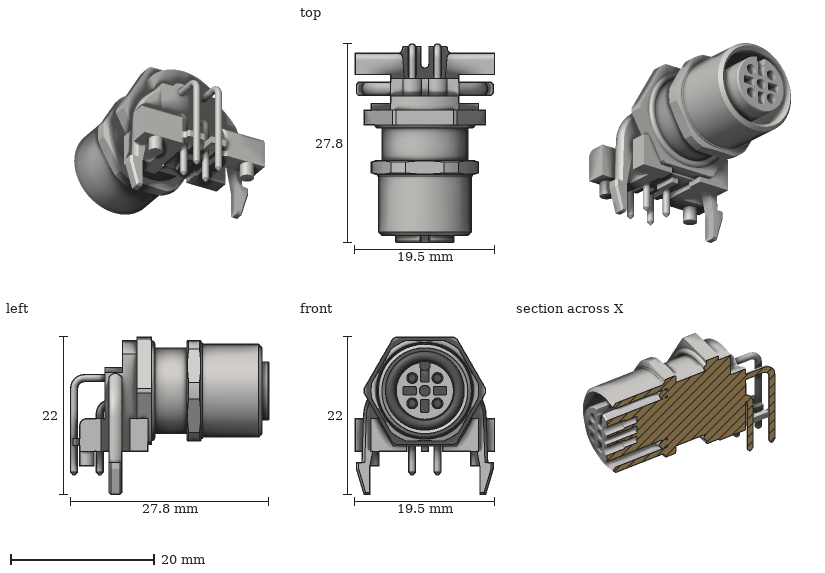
import cadquery as cq
import math


NECK_DIA = 12.0
SHELL_DIA = 13.0
SHELL_FRONT_Y = -15.45
SHELL_CHAMFER = 0.5
SHELL_STEP_DIA = 13.3
SHELL_STEP_Y = -7.15
BORE_DIA = 11.0
BORE_DEPTH = 9.0
BORE_FLOOR_Y = SHELL_FRONT_Y + BORE_DEPTH

FLANGE_FLATS = 15.0
FLANGE_CORNER_DIA = 17.0
FLANGE_LENGTH = 2.05
NUT_FLATS = 14.0
NUT_CORNER_DIA = 15.0
NUT_FRONT_Y = -6.95
NUT_BACK_Y = -4.95
NUT_CHAMFER_RADIAL = 0.73
NUT_CHAMFER_AXIAL = 0.25

INSERT_DIA = 8.2
INSERT_FRONT_Y = -16.45
INSERT_CHAMFER_RADIAL = 0.1
INSERT_CHAMFER_AXIAL = 0.2
CONTACT_OFFSET = 1.77
CONTACT_ENTRY_DIA = 1.5
CONTACT_BORE_DIA = 1.1
CONTACT_ENTRY_DEPTH = 3.0
CONTACT_DEPTH = 5.0
SLOT_LENGTH = 1.85
SLOT_WIDTH = 1.2
SLOT_OFFSET = 2.12
SLOT_ROUND = 0.25
SLOT_DEPTH = 5.0
KEYWAY_WIDTH = 1.4
KEYWAY_FLOOR_Z = 2.77
BORE_SEAL_SECTION_DIA = (BORE_DIA - INSERT_DIA) / 2
BORE_SEAL_EMBED = 0.1
FLANGE_SEAL_OUTER_DIA = 14.0
FLANGE_SEAL_SECTION_DIA = 1.0
FLANGE_SEAL_Y = 0.04

BODY_RADIUS = 7.0
BODY_WIDTH = 9.54
BODY_STEP_Y = 4.05
BODY_BACK_Y = 6.5
BODY_BOTTOM_Z = -7.75
BACK_TOP_Z = 2.53
SLEEVE_DIA = 3.0

BASE_TOP_Z = -3.89
BASE_BOTTOM_Z = -8.48
BASE_BAR_WIDTH = 19.5
BASE_BAR_FRONT_Y = 7.02
BASE_BAR_BACK_Y = 10.03
BASE_BAR_ROUND = 1.0
BAR_GAP_FRONT = 5.7
BAR_GAP_BACK = 6.3
BAR_INNER_ROUND = 0.7
FOOT_WIDTH = 15.0
FOOT_GAP = 5.0
FOOT_FRONT_Y = 0.52
FOOT_BACK_Y = 3.0
FLANGE_CLEARANCE = 0.2
RIB_WIDTH = 1.0
PEG_DIA = 2.0
PEG_X = 7.4
PEG_LENGTH = 2.02

GUIDE_WIDTH = 6.3
GUIDE_FLARE = 0.6
GUIDE_BACK_Y = 10.95
GUIDE_TOP_Z = -6.66
GUIDE_BOTTOM_Z = -7.62
GUIDE_SLOT_WIDTH = 1.1
GUIDE_CORNER_ROUND = 0.25
CENTRE_SLOT_END_Y = 7.95

PIN_DIA = 1.0
PIN_BEND_RADIUS = 1.5
UPPER_PIN_Y = 10.82
LOWER_PIN_Y = 7.23
PIN_END_Z = -11.8
PIN_TIP_LENGTH = 0.45
PIN_TIP_DIA = 0.2

CLIP_FRONT_Y = 4.13
CLIP_THICKNESS = 1.84
CLIP_ROOT_Z = 2.4
CLIP_ROOT_ANGLE = math.radians(43)
CLIP_ROOT_RUN = 1.92
CLIP_ELBOW_RADIUS = 5.93
CLIP_ARM_ANGLE = math.radians(88)
HOOK_TOP_Z = -10.04
HOOK_NOSE_X = 9.56
HOOK_NOSE_Z = -10.95
CLIP_TIP_X = 8.5
CLIP_END_Z = -14.49
CLIP_INNER_X = 7.68
CLIP_INNER_BEND_Z = -10.5
WEB_CORNER = (6.3, -3.3)
WEB_ROOT_Z = -1.5
CLIP_CROWN_HEIGHT = 0.4
CLIP_CROWN_DEPTH = 0.9
CLIP_WEB_INSET = 0.6
HOOK_CHAMFER = 0.3


def box(x0, x1, y0, y1, z0, z1):
    """Box between two corners."""
    return cq.Workplane("XY").box(x1 - x0, y1 - y0, z1 - z0, centered=False).translate((x0, y0, z0))


def rod(dia, y0, y1, x=0.0, z=0.0):
    """Cylinder parallel to Y between y0 and y1."""
    return cq.Workplane("XZ", origin=(0, y0, 0)).center(x, z).circle(dia / 2).extrude(y0 - y1)


def hexagon(flats, y0, y1):
    """Hexagonal prism along Y with flats facing +Z and -Z."""
    corner_dia = flats / math.cos(math.pi / 6)
    return cq.Workplane("XZ", origin=(0, y0, 0)).polygon(6, corner_dia).extrude(y0 - y1)


def mirrored(solid):
    """The solid together with its mirror image across the YZ plane."""
    return solid.union(solid.mirror("YZ"))


def make_flange():
    disc = rod(FLANGE_CORNER_DIA, 0, FLANGE_LENGTH)
    return hexagon(FLANGE_FLATS, 0, FLANGE_LENGTH).intersect(disc)


def make_nut():
    disc = rod(NUT_CORNER_DIA, NUT_FRONT_Y, NUT_BACK_Y)
    disc = disc.edges().chamfer(NUT_CHAMFER_AXIAL, NUT_CHAMFER_RADIAL)
    return hexagon(NUT_FLATS, NUT_FRONT_Y, NUT_BACK_Y).intersect(disc)


def make_shell():
    barrel = rod(SHELL_DIA, SHELL_FRONT_Y, NUT_FRONT_Y)
    barrel = barrel.faces("<Y").edges().chamfer(SHELL_CHAMFER)
    step = rod(SHELL_STEP_DIA, SHELL_STEP_Y, NUT_FRONT_Y)
    neck = rod(NECK_DIA, NUT_FRONT_Y, 0)
    shell = barrel.union(step).union(neck).union(make_nut()).union(make_flange())
    shell = shell.cut(rod(BORE_DIA, SHELL_FRONT_Y, BORE_FLOOR_Y))
    rim_dia = SHELL_DIA - 2 * SHELL_CHAMFER
    mouth_depth = (rim_dia - BORE_DIA) / 2
    mouth = (
        cq.Workplane("XZ", origin=(0, SHELL_FRONT_Y, 0))
        .circle(rim_dia / 2)
        .workplane(offset=-mouth_depth)
        .circle(BORE_DIA / 2)
        .loft()
    )
    return shell.cut(mouth)


def seal_ring(outer_dia, section_dia, y):
    """Sealing ring around the Y axis, its section centred at y."""
    ring_radius = (outer_dia - section_dia) / 2
    section = cq.Workplane("XY").center(ring_radius, y).circle(section_dia / 2)
    return section.revolve(360, (-ring_radius, 0), (-ring_radius, 1))


def make_seals():
    """Bore seal lying on the bore floor, and flange seal half sunk in the flange."""
    bore_seal_y = BORE_FLOOR_Y - BORE_SEAL_SECTION_DIA / 2 + BORE_SEAL_EMBED
    bore_seal = seal_ring(BORE_DIA, BORE_SEAL_SECTION_DIA, bore_seal_y)
    flange_seal = seal_ring(FLANGE_SEAL_OUTER_DIA, FLANGE_SEAL_SECTION_DIA, FLANGE_SEAL_Y)
    return bore_seal.union(flange_seal)


def insert_slot(x, z, size_x, size_z):
    """Blind rounded pocket in the insert face."""
    slot = cq.Workplane("XZ", origin=(0, INSERT_FRONT_Y, 0)).center(x, z).rect(size_x, size_z)
    return slot.extrude(-SLOT_DEPTH).edges("|Y").fillet(SLOT_ROUND)


def make_insert():
    insert = rod(INSERT_DIA, INSERT_FRONT_Y, BORE_FLOOR_Y)
    insert = insert.faces("<Y").edges().chamfer(INSERT_CHAMFER_AXIAL, INSERT_CHAMFER_RADIAL)
    contact_end_y = INSERT_FRONT_Y + CONTACT_DEPTH
    insert = insert.cut(rod(CONTACT_ENTRY_DIA, INSERT_FRONT_Y, contact_end_y))
    for side_x in (-1, 1):
        for side_z in (-1, 1):
            x = side_x * CONTACT_OFFSET
            z = side_z * CONTACT_OFFSET
            entry_end_y = INSERT_FRONT_Y + CONTACT_ENTRY_DEPTH
            insert = insert.cut(rod(CONTACT_ENTRY_DIA, INSERT_FRONT_Y, entry_end_y, x, z))
            insert = insert.cut(rod(CONTACT_BORE_DIA, INSERT_FRONT_Y, contact_end_y, x, z))
    for side in (-1, 1):
        insert = insert.cut(insert_slot(side * SLOT_OFFSET, 0, SLOT_LENGTH, SLOT_WIDTH))
        insert = insert.cut(insert_slot(0, side * SLOT_OFFSET, SLOT_WIDTH, SLOT_LENGTH))
    half_width = KEYWAY_WIDTH / 2
    floor_centre_z = KEYWAY_FLOOR_Z + half_width
    keyway_end_y = BORE_FLOOR_Y - BORE_SEAL_SECTION_DIA
    keyway = rod(KEYWAY_WIDTH, INSERT_FRONT_Y, keyway_end_y, 0, floor_centre_z)
    walls = box(-half_width, half_width, INSERT_FRONT_Y, keyway_end_y, floor_centre_z, INSERT_DIA / 2)
    return insert.cut(keyway).cut(walls)


def make_body():
    half_width = BODY_WIDTH / 2
    front = rod(2 * BODY_RADIUS, FLANGE_LENGTH, BODY_STEP_Y)
    front = front.intersect(box(-half_width, half_width, FLANGE_LENGTH, BODY_STEP_Y, 0, BODY_RADIUS))
    lower = box(-half_width, half_width, FLANGE_LENGTH, BODY_BACK_Y, BODY_BOTTOM_Z, 0)
    back = box(-half_width, half_width, BODY_STEP_Y, BODY_BACK_Y, 0, BACK_TOP_Z)
    body = front.union(lower).union(back)
    for side in (-1, 1):
        x = side * CONTACT_OFFSET
        body = body.union(rod(SLEEVE_DIA, BODY_STEP_Y, BODY_BACK_Y, x, CONTACT_OFFSET))
    rib = box(-RIB_WIDTH / 2, RIB_WIDTH / 2, FOOT_BACK_Y, BODY_BACK_Y, BASE_BOTTOM_Z, BODY_BOTTOM_Z)
    return body.union(rib)


def make_foot():
    """Support block under the flange on the +X side."""
    foot = box(FOOT_GAP / 2, FOOT_WIDTH / 2, FOOT_FRONT_Y, FOOT_BACK_Y, BASE_BOTTOM_Z, BASE_TOP_Z)
    return foot.cut(hexagon(FLANGE_FLATS + 2 * FLANGE_CLEARANCE, 0, FLANGE_LENGTH))


def make_base_bar():
    """Rear support bar on the +X side, joined forward to the body, with its peg."""
    bar_height = BASE_TOP_Z - BASE_BOTTOM_Z
    outline = [
        (BAR_GAP_FRONT / 2, FOOT_BACK_Y),
        (BODY_WIDTH / 2, FOOT_BACK_Y),
        (BODY_WIDTH / 2, BASE_BAR_FRONT_Y),
        (BASE_BAR_WIDTH / 2, BASE_BAR_FRONT_Y),
        (BASE_BAR_WIDTH / 2, BASE_BAR_BACK_Y),
        (BAR_GAP_BACK / 2, BASE_BAR_BACK_Y),
        (BAR_GAP_FRONT / 2, BODY_BACK_Y),
    ]
    inner_corner = (BAR_GAP_BACK / 2, BASE_BAR_BACK_Y, (BASE_TOP_Z + BASE_BOTTOM_Z) / 2)
    bar = cq.Workplane("XY", origin=(0, 0, BASE_BOTTOM_Z)).polyline(outline).close().extrude(bar_height)
    bar = bar.edges(cq.selectors.NearestToPointSelector(inner_corner)).fillet(BAR_INNER_ROUND)
    envelope = box(0, BASE_BAR_WIDTH / 2, 0, BASE_BAR_BACK_Y, BASE_BOTTOM_Z, BASE_TOP_Z)
    bar = bar.intersect(envelope.edges(">Y and >Z").fillet(BASE_BAR_ROUND))
    peg_y = BASE_BAR_BACK_Y - PEG_DIA / 2
    peg = cq.Workplane("XY", origin=(PEG_X, peg_y, BASE_BOTTOM_Z)).circle(PEG_DIA / 2).extrude(-PEG_LENGTH)
    return bar.union(peg)


def guide_slot(x, end_y):
    """Slot open to the back of the guide plate, with a round end at end_y."""
    radius = GUIDE_SLOT_WIDTH / 2
    slot = box(x - radius, x + radius, end_y + radius, GUIDE_BACK_Y, GUIDE_BOTTOM_Z, GUIDE_TOP_Z)
    end = cq.Workplane("XY", origin=(x, end_y + radius, GUIDE_BOTTOM_Z)).circle(radius)
    return slot.union(end.extrude(GUIDE_TOP_Z - GUIDE_BOTTOM_Z))


def make_guide_plate():
    """Slotted plate that holds the solder pins."""
    half_width = GUIDE_WIDTH / 2
    thickness = GUIDE_TOP_Z - GUIDE_BOTTOM_Z
    plate = box(-half_width, half_width, BODY_BACK_Y, GUIDE_BACK_Y, GUIDE_BOTTOM_Z, GUIDE_TOP_Z)
    plate = plate.edges("|Z and >Y").fillet(GUIDE_CORNER_ROUND)
    bend = GUIDE_FLARE * math.sqrt(0.5)
    flare_x = half_width + GUIDE_FLARE
    flare_y = BASE_BAR_BACK_Y + GUIDE_FLARE
    flare = (
        cq.Workplane("XY", origin=(0, 0, GUIDE_BOTTOM_Z))
        .moveTo(half_width, flare_y)
        .threePointArc((flare_x - bend, flare_y - bend), (flare_x, BASE_BAR_BACK_Y))
        .lineTo(flare_x, BASE_BAR_BACK_Y - GUIDE_FLARE)
        .lineTo(half_width, BASE_BAR_BACK_Y - GUIDE_FLARE)
        .close()
        .extrude(thickness)
    )
    plate = plate.union(mirrored(flare))
    plate = plate.cut(guide_slot(0, CENTRE_SLOT_END_Y))
    for side in (-1, 1):
        plate = plate.cut(guide_slot(side * CONTACT_OFFSET, BODY_BACK_Y))
    return plate


def make_pin(x, z, back_y):
    """Round pin leaving the body along +Y and bending down to a pointed end."""
    bend_mid = PIN_BEND_RADIUS * (1 - math.sqrt(0.5))
    straight_end_y = back_y - PIN_BEND_RADIUS
    path = (
        cq.Workplane("YZ", origin=(x, 0, 0))
        .moveTo(BODY_STEP_Y, z)
        .lineTo(straight_end_y, z)
        .threePointArc((back_y - bend_mid, z - bend_mid), (back_y, z - PIN_BEND_RADIUS))
        .lineTo(back_y, PIN_END_Z + PIN_TIP_LENGTH)
    )
    wire = cq.Workplane("XZ", origin=(x, BODY_STEP_Y, z)).circle(PIN_DIA / 2).sweep(path)
    tip = (
        cq.Workplane("XY", origin=(x, back_y, PIN_END_Z))
        .circle(PIN_TIP_DIA / 2)
        .workplane(offset=PIN_TIP_LENGTH)
        .circle(PIN_DIA / 2)
        .loft()
    )
    return wire.union(tip)


def clip_edges(clip, points):
    """Edges of the two flat clip faces that pass through the given (x, z) points."""
    edges = []
    for y in (CLIP_FRONT_Y, CLIP_FRONT_Y + CLIP_THICKNESS):
        for x, z in points:
            edges += clip.edges(cq.selectors.NearestToPointSelector((x, y, z))).vals()
    return edges


def clip_line(y, inset):
    """Line from the body down the outside of the clip, moved inward by inset."""
    radius = CLIP_ELBOW_RADIUS - inset
    elbow_start_x = BODY_WIDTH / 2 + CLIP_ROOT_RUN
    elbow_start_z = CLIP_ROOT_Z - CLIP_ROOT_RUN * math.tan(CLIP_ROOT_ANGLE)
    centre_x = elbow_start_x - CLIP_ELBOW_RADIUS * math.sin(CLIP_ROOT_ANGLE)
    centre_z = elbow_start_z - CLIP_ELBOW_RADIUS * math.cos(CLIP_ROOT_ANGLE)

    def elbow_point(angle):
        return (centre_x + radius * math.sin(angle), centre_z + radius * math.cos(angle))

    root_x = BODY_WIDTH / 2 - inset * math.sin(CLIP_ROOT_ANGLE)
    root_z = CLIP_ROOT_Z - inset * math.cos(CLIP_ROOT_ANGLE)
    elbow_end = elbow_point(CLIP_ARM_ANGLE)
    arm_end_x = elbow_end[0] + (elbow_end[1] - HOOK_TOP_Z) / math.tan(CLIP_ARM_ANGLE)
    return (
        cq.Workplane("XZ", origin=(0, y, 0))
        .moveTo(root_x, root_z)
        .lineTo(*elbow_point(CLIP_ROOT_ANGLE))
        .threePointArc(elbow_point((CLIP_ROOT_ANGLE + CLIP_ARM_ANGLE) / 2), elbow_end)
        .lineTo(arm_end_x, HOOK_TOP_Z)
    )


def make_clip():
    """Board clip on the +X side: sloping root, curved elbow, arm and hook."""
    root_x = BODY_WIDTH / 2
    half = CLIP_THICKNESS / 2
    middle_y = CLIP_FRONT_Y + half
    slope = (math.cos(CLIP_ROOT_ANGLE), 0, -math.sin(CLIP_ROOT_ANGLE))
    section_plane = cq.Plane(origin=(root_x, middle_y, CLIP_ROOT_Z), xDir=(0, 1, 0), normal=slope)
    crown = (
        cq.Workplane(section_plane)
        .moveTo(-half, -CLIP_CROWN_HEIGHT)
        .threePointArc((0, 0), (half, -CLIP_CROWN_HEIGHT))
        .lineTo(half, -CLIP_CROWN_DEPTH)
        .lineTo(-half, -CLIP_CROWN_DEPTH)
        .close()
        .sweep(clip_line(middle_y, 0))
    )
    web = (
        clip_line(CLIP_FRONT_Y, CLIP_WEB_INSET)
        .lineTo(CLIP_INNER_X, CLIP_INNER_BEND_Z)
        .lineTo(*WEB_CORNER)
        .lineTo(root_x, WEB_ROOT_Z)
        .close()
        .extrude(-CLIP_THICKNESS)
    )
    hook = (
        cq.Workplane("XZ", origin=(0, CLIP_FRONT_Y, 0))
        .moveTo(CLIP_INNER_X, HOOK_TOP_Z)
        .lineTo(HOOK_NOSE_X, HOOK_TOP_Z)
        .lineTo(HOOK_NOSE_X, HOOK_NOSE_Z)
        .lineTo(CLIP_TIP_X, CLIP_END_Z)
        .lineTo(CLIP_INNER_X, CLIP_END_Z)
        .close()
        .extrude(-CLIP_THICKNESS)
    )
    hook_points = (
        (HOOK_NOSE_X, (HOOK_TOP_Z + HOOK_NOSE_Z) / 2),
        ((HOOK_NOSE_X + CLIP_TIP_X) / 2, (HOOK_NOSE_Z + CLIP_END_Z) / 2),
        ((CLIP_TIP_X + CLIP_INNER_X) / 2, CLIP_END_Z),
    )
    hook = hook.newObject(clip_edges(hook, hook_points)).chamfer(HOOK_CHAMFER)
    return crown.union(web).union(hook)


def make_pins():
    pins = make_pin(CONTACT_OFFSET, CONTACT_OFFSET, UPPER_PIN_Y)
    pins = pins.union(make_pin(CONTACT_OFFSET, -CONTACT_OFFSET, LOWER_PIN_Y))
    return mirrored(pins)


result = make_shell().union(make_insert()).union(make_seals())
result = result.union(make_body()).union(make_guide_plate())
for feature in (make_foot(), make_base_bar(), make_clip()):
    result = result.union(mirrored(feature))
result = result.union(make_pins())